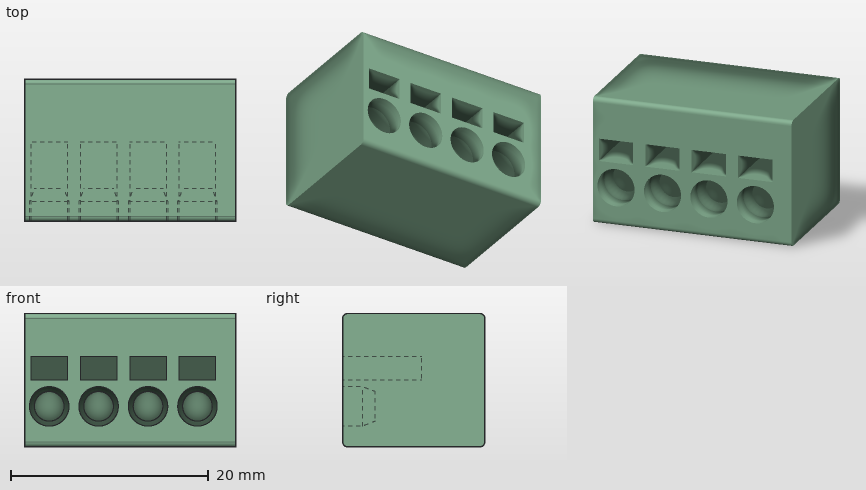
import cadquery as cq

length = 21.4
depth = 14.4
height = 13.5
edge_radius = 0.5

pole_count = 4
pole_pitch = 5.0
first_pole_x = 2.5

entry_z = 4.1
entry_bore_diameter = 4.0
entry_floor_diameter = 3.0
entry_bore_depth = 2.0
entry_taper_depth = 1.3

slot_width = 3.7
slot_height = 2.4
slot_bottom_z = height / 2
slot_depth = 8.0


def make_housing():
    """Block with its four long edges rounded."""
    block = cq.Workplane("XY").box(length, depth, height, centered=False)
    return block.edges("|X").fillet(edge_radius)


def make_wire_entry(x):
    """Cutter for one wire entry, running inward along +Y."""
    bore_radius = entry_bore_diameter / 2
    floor_radius = entry_floor_diameter / 2
    inward = cq.Vector(0, 1, 0)
    bore_start = cq.Vector(x, 0, entry_z)
    taper_start = cq.Vector(x, entry_bore_depth, entry_z)
    bore = cq.Solid.makeCylinder(bore_radius, entry_bore_depth, bore_start, inward)
    taper = cq.Solid.makeCone(bore_radius, floor_radius, entry_taper_depth, taper_start, inward)
    return cq.Workplane(bore).union(cq.Workplane(taper))


def make_release_slot(x):
    """Cutter for one rectangular slot, centred on its pole in X."""
    slot = cq.Workplane("XY").box(slot_width, slot_depth, slot_height, centered=(True, False, False))
    return slot.translate((x, 0, slot_bottom_z))


result = make_housing()
for pole in range(pole_count):
    pole_x = first_pole_x + pole * pole_pitch
    result = result.cut(make_wire_entry(pole_x))
    result = result.cut(make_release_slot(pole_x))